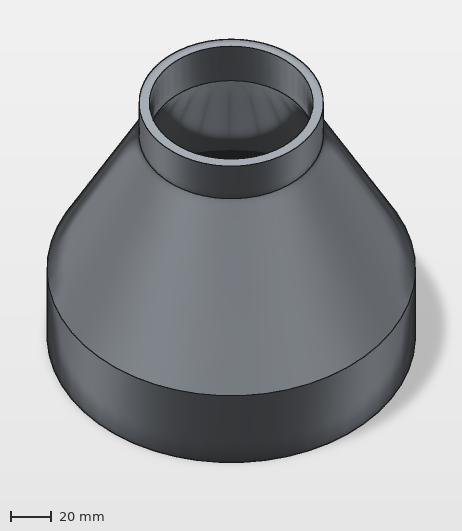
import math

import cadquery as cq

base_diameter = 180.0
neck_diameter = base_diameter / 2
wall = 5.0

base_height = 45.0
cone_height = 90.0
neck_height = 22.0

base_radius = base_diameter / 2
neck_radius = neck_diameter / 2
cone_top = base_height + cone_height
total_height = cone_top + neck_height

cone_half_angle = math.atan((base_radius - neck_radius) / cone_height)
bend_drop = wall * math.tan(cone_half_angle / 2)

wall_section = (
    cq.Workplane("XZ")
    .moveTo(base_radius, 0)
    .lineTo(base_radius, base_height)
    .lineTo(neck_radius, cone_top)
    .lineTo(neck_radius, total_height)
    .lineTo(neck_radius - wall, total_height)
    .lineTo(neck_radius - wall, cone_top - bend_drop)
    .lineTo(base_radius - wall, base_height - bend_drop)
    .lineTo(base_radius - wall, 0)
    .close()
)

result = wall_section.revolve(360, (0, 0, 0), (0, 1, 0))